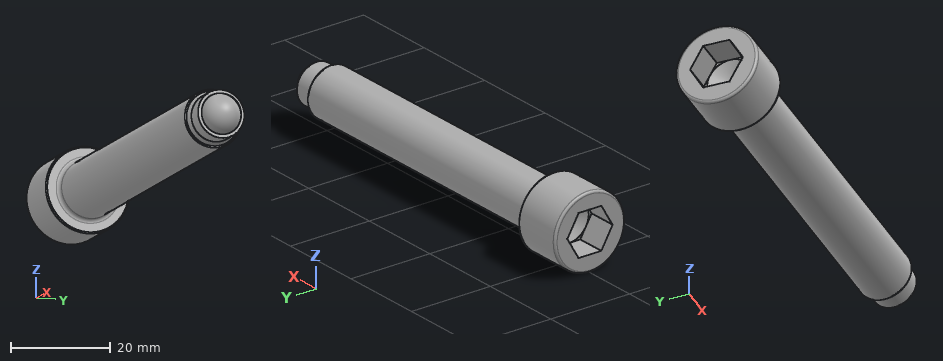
import cadquery as cq
import math

overall_length = 94.0
head_diameter = 18.0
head_length = 12.0
head_front_fillet = 0.6
head_back_chamfer = 0.3
shank_diameter = 12.0
neck_fillet = 0.8
shank_end = 85.4
shank_end_cone_length = 1.0
shank_end_cone_radius = 5.6
pin_diameter = 10.0
pin_end = 90.4
ball_base_radius = 4.2
hex_across_flats = 10.0
hex_depth = 7.0
drill_point_angle = 120.0

head_radius = head_diameter / 2
shank_radius = shank_diameter / 2
pin_radius = pin_diameter / 2
ball_height = overall_length - pin_end
ball_radius = (ball_base_radius**2 + ball_height**2) / (2 * ball_height)
ball_center = overall_length - ball_radius
ball_mid_angle = math.atan2(ball_base_radius, pin_end - ball_center) / 2
ball_mid = (
    ball_center + ball_radius * math.cos(ball_mid_angle),
    ball_radius * math.sin(ball_mid_angle),
)
arc_mid_ratio = 1 - math.sqrt(0.5)
neck_mid_offset = neck_fillet * arc_mid_ratio
front_mid_offset = head_front_fillet * arc_mid_ratio


def make_body():
    """Revolve the half outline of head, shank, pin and ball about X."""
    outline = (
        cq.Workplane("XY")
        .lineTo(0, head_radius - head_front_fillet)
        .threePointArc(
            (front_mid_offset, head_radius - front_mid_offset),
            (head_front_fillet, head_radius),
        )
        .lineTo(head_length - head_back_chamfer, head_radius)
        .lineTo(head_length, head_radius - head_back_chamfer)
        .lineTo(head_length, shank_radius + neck_fillet)
        .threePointArc(
            (head_length + neck_mid_offset, shank_radius + neck_mid_offset),
            (head_length + neck_fillet, shank_radius),
        )
        .lineTo(shank_end, shank_radius)
        .lineTo(shank_end, shank_end_cone_radius)
        .lineTo(shank_end + shank_end_cone_length, pin_radius)
        .lineTo(pin_end, pin_radius)
        .lineTo(pin_end, ball_base_radius)
        .threePointArc(ball_mid, (overall_length, 0))
        .close()
    )
    return outline.revolve(360, (0, 0, 0), (1, 0, 0))


def make_socket():
    """Hexagonal socket, corners on the Y axis, with a conical drill point."""
    across_corners = hex_across_flats / math.cos(math.pi / 6)
    hexagon = cq.Workplane("YZ").polygon(6, across_corners).extrude(hex_depth)
    drill_radius = hex_across_flats / 2
    point_depth = drill_radius / math.tan(math.radians(drill_point_angle / 2))
    drill_point = (
        cq.Workplane("XY")
        .moveTo(hex_depth, 0)
        .lineTo(hex_depth, drill_radius)
        .lineTo(hex_depth + point_depth, 0)
        .close()
        .revolve(360, (0, 0, 0), (1, 0, 0))
    )
    return hexagon.union(drill_point)


result = make_body().cut(make_socket())